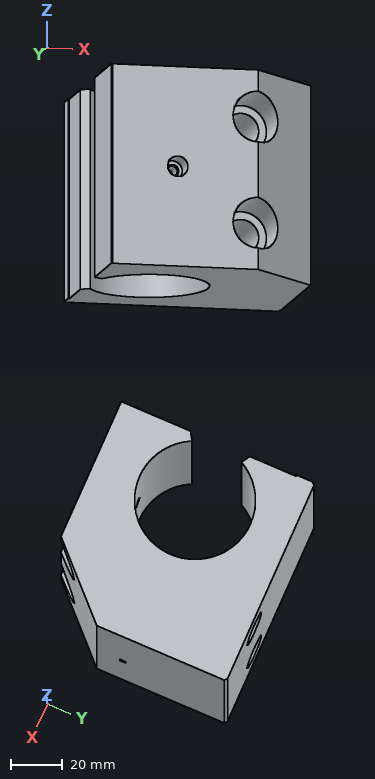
import cadquery as cq
import math

length_x = 86.0
width_y = 82.0
height_z = 79.0
bore_to_left = 25.0
bore_to_back = 40.0

left = -bore_to_left
right = left + length_x
back = bore_to_back
front = back - width_y

front_bevel = 27.0
back_chamfer = 1.0
front_chamfer = 0.5
contact_pad_width = 8.0
left_relief = 0.5
relieved_left = left + left_relief

bore_diameter = 47.0
mouth_inner_width = 20.8
mouth_outer_width = 25.0

clamp_hole_diameter = 13.84
clamp_counterbore_diameter = 20.0
clamp_counterbore_depth = 30.0
clamp_spacing = 42.0
clamp_x = right - front_bevel

set_screw_x = 2.0
set_screw_diameter = 4.13
set_screw_countersink_diameter = 5.1
set_screw_counterbore_diameter = 8.0
set_screw_counterbore_depth = 10.0

vent_diameter = 2.5
vent_y = -4.0
vent_z = -5.3


def y_cylinder(diameter, x, z, y_start, y_end):
    """Cylinder along +Y between two Y positions."""
    axis_start = cq.Vector(x, y_start, z)
    cylinder = cq.Solid.makeCylinder(diameter / 2, y_end - y_start, axis_start, cq.Vector(0, 1, 0))
    return cq.Workplane(cylinder)


def make_block():
    outline = [
        (relieved_left + front_chamfer, front),
        (right - front_bevel, front),
        (right, front + front_bevel),
        (right, back - back_chamfer),
        (right - back_chamfer, back),
        (left + back_chamfer, back),
        (left, back - back_chamfer),
        (left, back - contact_pad_width),
        (relieved_left, back - contact_pad_width),
        (relieved_left, front + front_chamfer),
    ]
    return cq.Workplane("XY").polyline(outline).close().extrude(height_z / 2, both=True)


def make_bore():
    return cq.Workplane("XY").circle(bore_diameter / 2).extrude(height_z / 2, both=True)


def make_mouth():
    """Slot from the bore to the left face, flaring outwards."""
    inner_half = mouth_inner_width / 2
    outer_half = mouth_outer_width / 2
    lip_x = -math.sqrt((bore_diameter / 2) ** 2 - inner_half ** 2)
    outline = [
        (0, inner_half),
        (lip_x, inner_half),
        (relieved_left, outer_half),
        (left, outer_half),
        (left, -outer_half),
        (relieved_left, -outer_half),
        (lip_x, -inner_half),
        (0, -inner_half),
    ]
    return cq.Workplane("XY").polyline(outline).close().extrude(height_z / 2, both=True)


def make_clamp_hole(z):
    through = y_cylinder(clamp_hole_diameter, clamp_x, z, front, back)
    counterbore = y_cylinder(clamp_counterbore_diameter, clamp_x, z, front, front + clamp_counterbore_depth)
    return through.union(counterbore)


def make_set_screw_hole():
    floor_y = front + set_screw_counterbore_depth
    countersink_depth = (set_screw_countersink_diameter - set_screw_diameter) / 2
    counterbore = y_cylinder(set_screw_counterbore_diameter, set_screw_x, 0, front, floor_y)
    screw_hole = y_cylinder(set_screw_diameter, set_screw_x, 0, front, 0)
    countersink = cq.Workplane(cq.Solid.makeCone(
        set_screw_countersink_diameter / 2,
        set_screw_diameter / 2,
        countersink_depth,
        cq.Vector(set_screw_x, floor_y, 0),
        cq.Vector(0, 1, 0),
    ))
    return counterbore.union(screw_hole).union(countersink)


def make_vent_hole():
    axis_start = cq.Vector(0, vent_y, vent_z)
    return cq.Workplane(cq.Solid.makeCylinder(vent_diameter / 2, right, axis_start, cq.Vector(1, 0, 0)))


result = make_block().cut(make_bore()).cut(make_mouth())
for clamp_z in (-clamp_spacing / 2, clamp_spacing / 2):
    result = result.cut(make_clamp_hole(clamp_z))
result = result.cut(make_set_screw_hole()).cut(make_vent_hole())